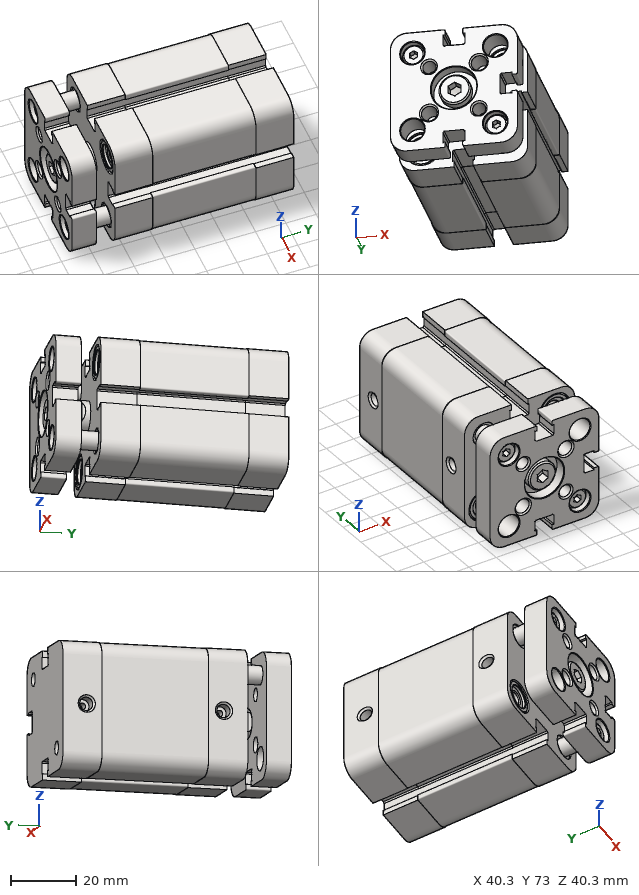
import cadquery as cq
import math


plate_thickness = 8.0
plate_gap = 6.0
cap_length = 12.5
total_length = 73.0
plate_back = plate_thickness
body_front = plate_back + plate_gap
front_cap_end = body_front + cap_length
rear_cap_start = total_length - cap_length

cap_side, cap_radius = 40.3, 5.0
barrel_side, barrel_radius = 40.15, 5.1
plate_side, plate_radius = 39.85, 5.1

slot_depth = 5.7
cap_slot_depth = 5.8
slot_lip = 2.0
slot_width = 6.9
slot_mouth = 5.55
cap_slot_mouth = 6.0
slot_corner = 0.45
slot_edge_radius = 0.45
slot_angles = (0, 90, 180)

corner_offset = 13.0
guide_axes = [(-corner_offset, corner_offset), (corner_offset, -corner_offset)]
screw_axes = [(corner_offset, corner_offset), (-corner_offset, -corner_offset)]

guide_diameter = 6.0
guide_bearing_diameter = 8.0
guide_bearing_depth = 0.5
corner_bore = 7.5
corner_bore_rim = 8.0
guide_screw_diameter = 7.0
guide_screw_top = 6.0
guide_screw_recess = 1.45
guide_screw_seat = 4.0
guide_screw_socket = 2.5
guide_screw_socket_depth = 2.2

body_screw_counterbore = 11.1
body_screw_counterbore_depth = 1.1
body_screw_diameter = 10.9
body_screw_top = 10.0
body_screw_recess = 0.2
body_screw_bore = 7.6
body_screw_bore_rim = 8.0
body_screw_bore_depth = 1.0
through_hole = 4.15
through_hole_rim = 4.9

piston_diameter = 10.0
piston_flats = 8.0
piston_flat_length = 3.4
piston_end_radius = 1.2
piston_recess = 14.3
piston_recess_rim = 14.75
piston_recess_depth = 4.0
piston_screw_diameter = 10.0
piston_screw_top = 9.0
piston_screw_recess = 1.0
piston_screw_socket = 4.0
piston_screw_socket_depth = 3.0

socket_tip_angle = 30

small_hole_offset = 7.8
tapped_hole, tapped_hole_rim = 4.15, 5.25
pin_hole, pin_hole_rim = 5.0, 6.0

port_inset = 7.6
port_diameter = 4.15
port_rim = 5.5
port_depth = 5.0
port_passage = 2.0
port_passage_depth = 8.75


def section_plane(y):
    """Sketch plane square to Y; a negative extrusion on it runs towards +Y."""
    return cq.Workplane("XZ", origin=(0, y, 0))


def cylinder(x, z, diameter, y_start, y_end):
    """Round bar along Y."""
    return section_plane(y_start).center(x, z).circle(diameter / 2).extrude(y_start - y_end)


def square_block(side, radius, y_start, y_end):
    """Square block with rounded corners along Y."""
    return section_plane(y_start).rect(side, side).extrude(y_start - y_end).edges("|Y").fillet(radius)


def countersunk_hole(x, z, diameter, rim, y_start, y_end):
    """Cutter for a round hole that opens at y_start with a 45 degree chamfer."""
    chamfer = (rim - diameter) / 2
    bar = cylinder(x, z, diameter, y_start, y_end)
    cone = section_plane(y_start).center(x, z).circle(rim / 2)
    cone = cone.workplane(offset=-chamfer).circle(diameter / 2).loft()
    return bar.union(cone)


def hex_socket(x, z, across_flats, y_start, depth):
    """Hexagonal cutter along Y with a drill-point end; two corners point along Z."""
    across_corners = across_flats / math.cos(math.radians(30))
    tip_radius = across_corners / 2
    tip_length = tip_radius * math.tan(math.radians(socket_tip_angle))
    bar = section_plane(y_start).polygon(6, across_corners).extrude(-depth - tip_length)
    tip = cq.Workplane("XY").polyline([
        (0, y_start),
        (tip_radius, y_start),
        (tip_radius, y_start + depth),
        (0, y_start + depth + tip_length),
    ]).close().revolve(360, (0, 0, 0), (0, 1, 0))
    bar = bar.intersect(tip)
    return bar.rotate((0, 0, 0), (0, 1, 0), 90).translate((x, 0, z))


def screw_head(x, z, diameter, top_diameter, y_start, y_end):
    """Round head along Y with a chamfered front edge."""
    head = cylinder(x, z, diameter, y_start, y_end)
    return head.faces("<Y").chamfer((diameter - top_diameter) / 2)


def slot_cutter(side, depth, mouth, edge_radius, y_start, y_end):
    """T-slot cutter that opens on +Z; edge_radius rounds the mouth when above zero."""
    top = side / 2
    floor = cap_side / 2 - depth
    shoulder = cap_side / 2 - slot_lip
    half_mouth = mouth / 2
    height = shoulder - floor
    pocket = section_plane(y_start).center(0, (floor + shoulder) / 2).rect(slot_width, height)
    pocket = pocket.extrude(y_start - y_end).edges("|Y and <Z").chamfer(slot_corner)
    neck = section_plane(y_start).moveTo(-half_mouth, shoulder)
    if edge_radius > 0:
        neck = neck.lineTo(-half_mouth, top - edge_radius)
        neck = neck.radiusArc((-half_mouth - edge_radius, top), -edge_radius)
        neck = neck.lineTo(half_mouth + edge_radius, top)
        neck = neck.radiusArc((half_mouth, top - edge_radius), -edge_radius)
    else:
        neck = neck.lineTo(-half_mouth, top)
        neck = neck.lineTo(half_mouth, top)
    neck = neck.lineTo(half_mouth, shoulder).close().extrude(y_start - y_end)
    return pocket.union(neck)


def slotted_block(side, radius, depth, mouth, edge_radius, y_start, y_end):
    """Rounded square block with T-slots on +Z, +X and -Z."""
    block = square_block(side, radius, y_start, y_end)
    cutter = slot_cutter(side, depth, mouth, edge_radius, y_start, y_end)
    for angle in slot_angles:
        block = block.cut(cutter.rotate((0, 0, 0), (0, 1, 0), angle))
    return block


def port_cutter(y):
    """Air port on the -X side: chamfered bore with a narrower passage behind it."""
    face = cq.Workplane("YZ", origin=(-cap_side / 2, y, 0))
    chamfer = (port_rim - port_diameter) / 2
    cone = face.circle(port_rim / 2).workplane(offset=chamfer).circle(port_diameter / 2).loft()
    bore = face.circle(port_diameter / 2).extrude(port_depth)
    passage = face.circle(port_passage / 2).extrude(port_passage_depth)
    return bore.union(cone).union(passage)


def make_cap(y_start, y_end):
    return slotted_block(cap_side, cap_radius, cap_slot_depth, cap_slot_mouth, 0, y_start, y_end)


def make_body():
    front_cap = make_cap(body_front, front_cap_end)
    barrel = slotted_block(
        barrel_side, barrel_radius, slot_depth, slot_mouth, slot_edge_radius,
        front_cap_end, rear_cap_start,
    )
    rear_cap = make_cap(rear_cap_start, total_length)
    body = front_cap.union(barrel).union(rear_cap)
    for x, z in screw_axes:
        head_face = body_front + body_screw_recess
        counterbore_floor = body_front + body_screw_counterbore_depth
        bore_floor = head_face + body_screw_bore_depth
        head = screw_head(x, z, body_screw_diameter, body_screw_top, head_face, counterbore_floor)
        bore = countersunk_hole(x, z, body_screw_bore, body_screw_bore_rim, head_face, bore_floor)
        hole = countersunk_hole(x, z, through_hole, through_hole_rim, bore_floor, total_length)
        body = body.cut(cylinder(x, z, body_screw_counterbore, body_front, counterbore_floor))
        body = body.union(head).cut(bore).cut(hole)
    for x, z in guide_axes:
        bearing_floor = body_front + guide_bearing_depth
        body = body.cut(cylinder(x, z, guide_bearing_diameter, body_front, bearing_floor))
    for y in (body_front + port_inset, total_length - port_inset):
        body = body.cut(port_cutter(y))
    return body


def make_plate():
    plate = slotted_block(
        plate_side, plate_radius, slot_depth, slot_mouth, slot_edge_radius, 0, plate_back
    )
    for x, z in guide_axes + screw_axes:
        plate = plate.cut(countersunk_hole(x, z, corner_bore, corner_bore_rim, 0, plate_back))
    for x_side in (-1, 1):
        for z_side in (-1, 1):
            x = x_side * small_hole_offset
            z = z_side * small_hole_offset
            if x_side == z_side:
                hole = countersunk_hole(x, z, pin_hole, pin_hole_rim, 0, plate_back)
            else:
                hole = countersunk_hole(x, z, tapped_hole, tapped_hole_rim, 0, plate_back)
            plate = plate.cut(hole)
    recess = countersunk_hole(0, 0, piston_recess, piston_recess_rim, 0, piston_recess_depth)
    return plate.cut(recess)


def make_guide(x, z):
    """Guide rod with its screw; a collar fills the plate bore behind the screw head."""
    rod = cylinder(x, z, guide_diameter, plate_back, body_front + guide_bearing_depth)
    collar = cylinder(x, z, corner_bore, guide_screw_seat, plate_back)
    head = screw_head(
        x, z, guide_screw_diameter, guide_screw_top, guide_screw_recess, guide_screw_seat
    )
    socket = hex_socket(x, z, guide_screw_socket, guide_screw_recess, guide_screw_socket_depth)
    return rod.union(collar).union(head).cut(socket)


def make_piston_rod():
    """Piston rod with a rounded end and two wrench flats that run out at 45 degrees."""
    rod = cylinder(0, 0, piston_diameter, plate_back, body_front)
    rod = rod.faces("<Y").edges().fillet(piston_end_radius)
    flat = piston_flats / 2
    outside = piston_diameter
    flat_end = plate_back + piston_flat_length
    runout = outside - flat
    for side in (-1, 1):
        relief = cq.Workplane("XY", origin=(0, 0, -outside)).polyline([
            (side * flat, plate_back),
            (side * flat, flat_end),
            (side * outside, flat_end + runout),
            (side * outside, plate_back),
        ]).close().extrude(2 * outside)
        rod = rod.cut(relief)
    return rod


def make_piston_screw():
    """Screw head that stands in the plate recess."""
    return screw_head(
        0, 0, piston_screw_diameter, piston_screw_top, piston_screw_recess, piston_recess_depth
    )


result = make_body().union(make_plate()).union(make_piston_rod()).union(make_piston_screw())
result = result.cut(
    hex_socket(0, 0, piston_screw_socket, piston_screw_recess, piston_screw_socket_depth)
)
for guide_x, guide_z in guide_axes:
    result = result.union(make_guide(guide_x, guide_z))